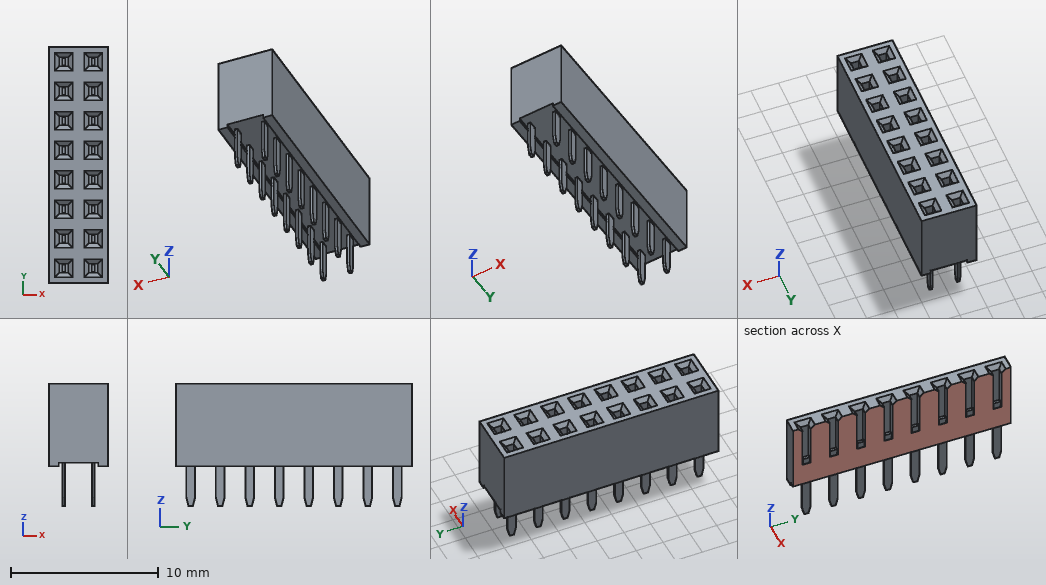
import cadquery as cq

columns = 2
rows = 8
pitch = 2.0

housing_width = columns * pitch
housing_length = rows * pitch
housing_height = 5.6
rail_width = 0.67
rail_height = 0.24

mouth_size = 1.2
well_size = 0.6
lead_in_depth = (mouth_size - well_size) / 2
well_depth = 3.2

overall_height = 8.3
blade_thickness = 0.2
tail_width = 0.6
tail_end_width = 0.3
tail_taper_length = 0.6
tip_width = 0.5
tip_height = 0.5

housing_top = housing_height
well_top = housing_top - lead_in_depth
well_floor = well_top - well_depth
tail_end = housing_top - overall_height
taper_start = tail_end + tail_taper_length

contact_positions = [
    ((column - (columns - 1) / 2) * pitch, (row - (rows - 1) / 2) * pitch)
    for column in range(columns)
    for row in range(rows)
]


def make_housing():
    """Block with a full-length channel between its two bottom rails."""
    block = cq.Workplane("XY").box(
        housing_width, housing_length, housing_height, centered=(True, True, False)
    )
    channel = cq.Workplane("XY").box(
        housing_width - 2 * rail_width, housing_length, rail_height, centered=(True, True, False)
    )
    return block.cut(channel)


def make_socket():
    """Volume removed for one socket, centred on the Z axis."""
    lead_in = (
        cq.Workplane("XY", origin=(0, 0, well_top))
        .rect(well_size, well_size)
        .workplane(offset=lead_in_depth)
        .rect(mouth_size, mouth_size)
        .loft(ruled=True)
    )
    well = cq.Workplane("XY", origin=(0, 0, well_floor)).rect(well_size, well_size).extrude(well_depth)
    return lead_in.union(well)


def make_contact():
    """Flat blade in the YZ plane, from the solder tail up to the tip in the well."""
    tip_top = well_floor + tip_height
    plus_y_edge = [
        (tail_end_width / 2, tail_end),
        (tail_width / 2, taper_start),
        (tail_width / 2, well_floor),
        (tip_width / 2, well_floor),
        (tip_width / 2, tip_top),
    ]
    minus_y_edge = [(-y, z) for y, z in reversed(plus_y_edge)]
    return (
        cq.Workplane("YZ")
        .polyline(plus_y_edge + minus_y_edge)
        .close()
        .extrude(blade_thickness / 2, both=True)
    )


housing = make_housing()
socket = make_socket()
contact = make_contact()

for x, y in contact_positions:
    housing = housing.cut(socket.translate((x, y, 0)))
    housing = housing.union(contact.translate((x, y, 0)))

result = housing